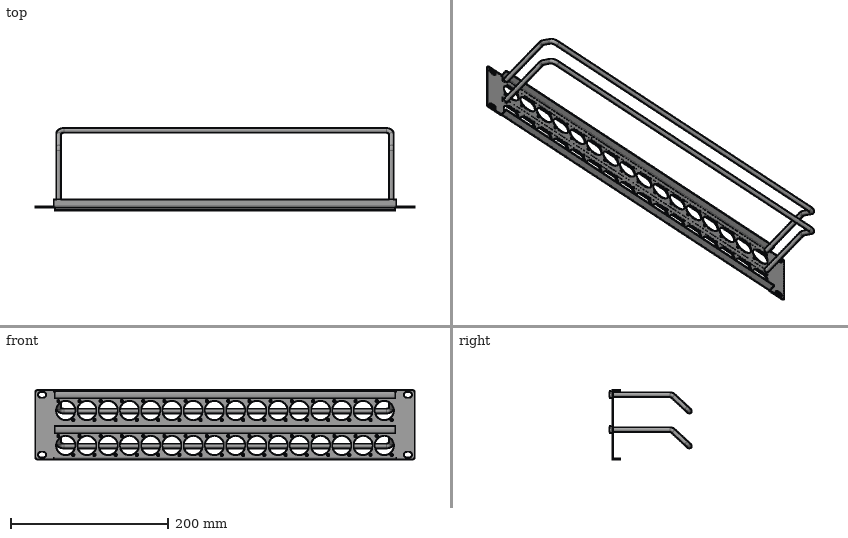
import cadquery as cq
import math

PANEL_WIDTH = 482.6
PANEL_HEIGHT = 88.5
SHEET = 1.5
PANEL_CORNER_RADIUS = 3.0

FLANGE_LENGTH = 436.0
FLANGE_DEPTH = 10.3
BEND_RADIUS = 2.0

SLOT_LENGTH = 10.0
SLOT_HEIGHT = 7.0
SLOT_PITCH_X = 465.1
SLOT_PITCH_Z = 76.2

ROW_SPACING = 44.45
UPPER_ROW_Z = 18.1
HOLES_PER_ROW = 16
HOLE_PITCH = 27.0
CONNECTOR_DIAMETER = 24.2
SCREW_DIAMETER = 2.8
SCREW_OFFSET_X = 9.5
SCREW_OFFSET_Z = 12.0

STRIP_ABOVE_ROW = 20.1
STRIP_LENGTH = 432.8
WEB_HEIGHT = 8.8
WEB_DEPTH = 2.6
LIP_HEIGHT = 9.6
LIP_DEPTH = 3.0
FACE_HEIGHT = 9.0
FACE_CROWN_DEPTH = 3.9

TOTAL_DEPTH = 105.1
ROD_DIAMETER = 6.35
ROD_BEND_RADIUS = 6.35
LEG_X = 211.5
ELBOW_Y = 75.6
BAR_DROP = 20.8
BAR_Y = TOTAL_DEPTH - FACE_CROWN_DEPTH - ROD_DIAMETER / 2

ROW_HEIGHTS = [UPPER_ROW_Z, UPPER_ROW_Z - ROW_SPACING]


def front_plane(y=0.0):
    """Plane facing -Y: local x is X and local y is Z."""
    return cq.Workplane("XZ", origin=(0, y, 0))


def upright_block(length, height, front_y, back_y):
    return front_plane(front_y).rect(length, height).extrude(front_y - back_y)


def make_panel():
    panel = upright_block(PANEL_WIDTH, PANEL_HEIGHT, 0, SHEET)
    return panel.edges("|Y").fillet(PANEL_CORNER_RADIUS)


def fold_flanges(panel):
    """Replace the middle length of the sheet with a channel that has rounded bends."""
    flat_middle = upright_block(FLANGE_LENGTH, PANEL_HEIGHT, 0, SHEET)
    channel = upright_block(FLANGE_LENGTH, PANEL_HEIGHT, 0, FLANGE_DEPTH)
    channel = channel.edges("|X and <Y").fillet(BEND_RADIUS)
    cavity = upright_block(FLANGE_LENGTH, PANEL_HEIGHT - 2 * SHEET, SHEET, FLANGE_DEPTH)
    cavity = cavity.edges("|X and <Y").fillet(BEND_RADIUS - SHEET)
    return panel.cut(flat_middle).union(channel.cut(cavity))


def cut_mounting_slots(panel):
    slots = front_plane().rect(SLOT_PITCH_X, SLOT_PITCH_Z, forConstruction=True).vertices()
    return panel.cut(slots.slot2D(SLOT_LENGTH, SLOT_HEIGHT).extrude(-SHEET))


def cut_connector_row(panel, row_z):
    first_x = -HOLE_PITCH * (HOLES_PER_ROW - 1) / 2
    centres = [(first_x + i * HOLE_PITCH, row_z) for i in range(HOLES_PER_ROW)]
    upper_screws = [(x - SCREW_OFFSET_X, z + SCREW_OFFSET_Z) for x, z in centres]
    lower_screws = [(x + SCREW_OFFSET_X, z - SCREW_OFFSET_Z) for x, z in centres]
    openings = front_plane().pushPoints(centres).circle(CONNECTOR_DIAMETER / 2).extrude(-SHEET)
    screws = front_plane().pushPoints(upper_screws + lower_screws)
    return panel.cut(openings).cut(screws.circle(SCREW_DIAMETER / 2).extrude(-SHEET))


def make_label_strip(centre_z):
    half_face = FACE_HEIGHT / 2
    face_profile = (
        cq.Workplane("YZ", origin=(-STRIP_LENGTH / 2, 0, 0))
        .moveTo(-LIP_DEPTH, -half_face)
        .threePointArc((-FACE_CROWN_DEPTH, 0), (-LIP_DEPTH, half_face))
        .close()
    )
    web = upright_block(STRIP_LENGTH, WEB_HEIGHT, -WEB_DEPTH, 0)
    lip = upright_block(STRIP_LENGTH, LIP_HEIGHT, -LIP_DEPTH, -WEB_DEPTH)
    strip = web.union(lip).union(face_profile.extrude(STRIP_LENGTH))
    return strip.translate((0, 0, centre_z))


def bend_points(before, corner, after):
    """Start, middle and end of the arc that rounds a corner of the rod's centreline."""
    to_before = (before - corner).normalized()
    to_after = (after - corner).normalized()
    half_angle = to_before.getAngle(to_after) / 2
    tangent = ROD_BEND_RADIUS / math.tan(half_angle)
    gap = ROD_BEND_RADIUS / math.sin(half_angle) - ROD_BEND_RADIUS
    middle = corner + (to_before + to_after).normalized() * gap
    return corner + to_before * tangent, middle, corner + to_after * tangent


def make_support_bar(leg_z):
    bar_z = leg_z - BAR_DROP
    corners = [
        cq.Vector(-LEG_X, SHEET, leg_z),
        cq.Vector(-LEG_X, ELBOW_Y, leg_z),
        cq.Vector(-LEG_X, BAR_Y, bar_z),
        cq.Vector(LEG_X, BAR_Y, bar_z),
        cq.Vector(LEG_X, ELBOW_Y, leg_z),
        cq.Vector(LEG_X, SHEET, leg_z),
    ]
    edges = []
    position = corners[0]
    for before, corner, after in zip(corners, corners[1:], corners[2:]):
        start, middle, end = bend_points(before, corner, after)
        edges.append(cq.Edge.makeLine(position, start))
        edges.append(cq.Edge.makeThreePointArc(start, middle, end))
        position = end
    edges.append(cq.Edge.makeLine(position, corners[-1]))
    path = cq.Workplane(cq.Wire.assembleEdges(edges))
    section = cq.Workplane("XZ", origin=corners[0].toTuple()).circle(ROD_DIAMETER / 2)
    return section.sweep(path)


result = cut_mounting_slots(fold_flanges(make_panel()))
for row_height in ROW_HEIGHTS:
    strip_height = row_height + STRIP_ABOVE_ROW
    result = cut_connector_row(result, row_height)
    result = result.union(make_label_strip(strip_height))
    result = result.union(make_support_bar(strip_height))